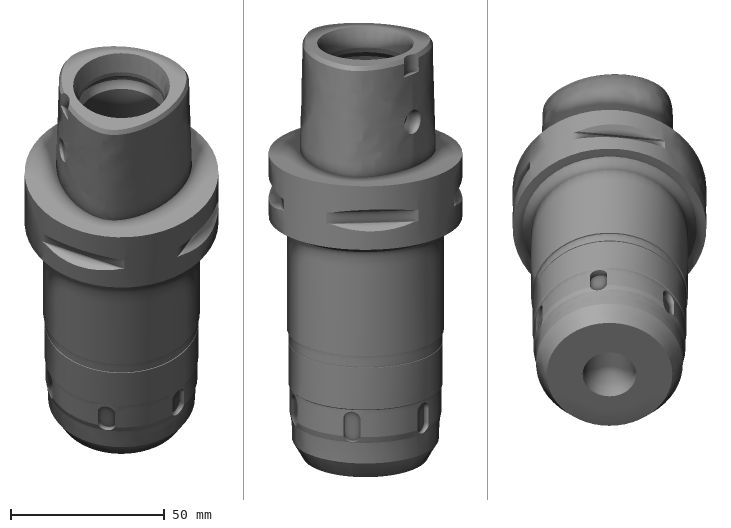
import cadquery as cq
import math

total_height = 143.0
shank_length = 38.0
flange_radius = 63.0 / 2
flange_height = 22.0
flange_top = total_height - shank_length
flange_bottom = flange_top - flange_height

body_radius = 51.0 / 2
neck_cone_height = 3.0
neck_cone_width = 2.9
body_bottom = 43.9
collar_radius = 50.2 / 2
gap_top = 40.0
gap_width = 0.5
gap_depth = 0.3
nut_step_height = 25.2
nut_step_chamfer = 0.36
nut_radius = 24.7
nut_band_bottom = 15.5
nut_lower_top = 13.3
nut_lower_radius = 48.5 / 2
nose_chamfer_top = 6.0
nose_shoulder_radius = 23.9
nose_radius = 20.5

shank_base_radius = 44.2 / 2
lobe_height = 1.5
taper_ratio = 1 / 20
shank_chamfer_height = 1.5
shank_chamfer_width = 0.9
outline_points = 48

through_radius = 8.7
bore_radius = 27.9 / 2
bore_mouth_radius = 15.7
bore_mouth_depth = 6.7
bore_groove_depth = 8.3
bore_groove_length = 5.7
bore_groove_rise = 2.1
bore_depth = 28.6

notch_radius = 5.0
notch_inner_y = -18.0
notch_depth = 6.1
side_hole_radius = 8.2 / 2
side_hole_depth_from_top = 22.5
side_hole_floor_y = -14.3

groove_count = 4
groove_z = 93.1
groove_floor = 27.7
groove_floor_width = 4.0
groove_bevel_start = 28.5
groove_bevel_angle = 30

slot_count = 6
slot_width = 5.7
slot_bottom = 13.5
slot_length = 10.7
slot_floor = 22.6


def build_turned_body():
    """Everything below the shank, revolved about Z."""
    gap_bottom = gap_top - gap_width
    profile = (
        cq.Workplane("XZ")
        .moveTo(0, 0)
        .lineTo(nose_radius, 0)
        .lineTo(nose_shoulder_radius, nose_chamfer_top)
        .lineTo(nut_lower_radius, nut_lower_top)
        .lineTo(nut_radius, nut_band_bottom)
        .lineTo(nut_radius, nut_step_height - nut_step_chamfer)
        .lineTo(collar_radius, nut_step_height)
        .lineTo(collar_radius, gap_bottom)
        .lineTo(collar_radius - gap_depth, gap_bottom)
        .lineTo(collar_radius - gap_depth, gap_top)
        .lineTo(collar_radius, gap_top)
        .lineTo(collar_radius, body_bottom)
        .lineTo(body_radius, body_bottom)
        .lineTo(body_radius, flange_bottom - neck_cone_height)
        .lineTo(body_radius + neck_cone_width, flange_bottom)
        .lineTo(flange_radius, flange_bottom)
        .lineTo(flange_radius, flange_top)
        .lineTo(0, flange_top)
        .close()
    )
    return profile.revolve(360, (0, 0, 0), (0, 1, 0))


def lobed_point(mean_radius, index):
    """Point of a constant-width outline with one of its three lobes on +Y."""
    angle = 2 * math.pi * index / outline_points - math.pi / 2
    lobe_angle = 3 * (angle - math.pi / 2)
    reach = mean_radius + lobe_height * math.cos(lobe_angle)
    slide = -3 * lobe_height * math.sin(lobe_angle)
    x = reach * math.cos(angle) - slide * math.sin(angle)
    y = reach * math.sin(angle) + slide * math.cos(angle)
    return (x, y)


def lobed_loft(bottom_z, bottom_radius, top_z, top_radius):
    """Straight-sided solid between two lobed outlines."""
    bottom_points = [lobed_point(bottom_radius, i) for i in range(outline_points)]
    top_points = [lobed_point(top_radius, i) for i in range(outline_points)]
    return (
        cq.Workplane("XY", origin=(0, 0, bottom_z))
        .spline(bottom_points, periodic=True)
        .close()
        .workplane(offset=top_z - bottom_z)
        .spline(top_points, periodic=True)
        .close()
        .loft(ruled=True)
    )


def build_shank():
    """Tapered lobed shank with a chamfered top rim."""
    chamfer_z = total_height - shank_chamfer_height
    rim_radius = shank_base_radius - (chamfer_z - flange_top) * taper_ratio / 2
    taper = lobed_loft(flange_top, shank_base_radius, chamfer_z, rim_radius)
    rim = lobed_loft(chamfer_z, rim_radius, total_height, rim_radius - shank_chamfer_width)
    return taper.union(rim)


def build_bore():
    """Stepped bore from the top, with a conical mouth and an undercut groove, and the through hole."""
    groove_top = total_height - bore_groove_depth
    groove_end = groove_top - bore_groove_length
    groove_radius = bore_radius + bore_groove_rise
    return (
        cq.Workplane("XZ")
        .moveTo(0, 0)
        .lineTo(through_radius, 0)
        .lineTo(through_radius, total_height - bore_depth)
        .lineTo(bore_radius, total_height - bore_depth)
        .lineTo(bore_radius, groove_end)
        .lineTo(groove_radius, groove_end + bore_groove_rise)
        .lineTo(groove_radius, groove_top - bore_groove_rise)
        .lineTo(bore_radius, groove_top)
        .lineTo(bore_radius, total_height - bore_mouth_depth)
        .lineTo(bore_mouth_radius, total_height)
        .lineTo(0, total_height)
        .close()
        .revolve(360, (0, 0, 0), (0, 1, 0))
    )


def build_notch():
    """Orientation notch with a rounded back and a flat bottom in the top rim."""
    return (
        cq.Workplane("XY", origin=(0, notch_inner_y - notch_radius, total_height - notch_depth))
        .circle(notch_radius)
        .extrude(notch_depth)
    )


def build_side_hole():
    """Flat-bottomed hole running in from the -Y side of the shank."""
    return (
        cq.Workplane("XZ", origin=(0, side_hole_floor_y, total_height - side_hole_depth_from_top))
        .circle(side_hole_radius)
        .extrude(flange_radius)
    )


def build_gripper_groove():
    """Straight groove across the +X side of the flange: a flat floor opening into bevelled sides."""
    half_floor = groove_floor_width / 2
    bevel_rise = (flange_radius - groove_bevel_start) * math.tan(math.radians(groove_bevel_angle))
    half_mouth = half_floor + bevel_rise
    return (
        cq.Workplane("XZ", origin=(0, 0, groove_z))
        .polyline([
            (groove_floor, -half_floor),
            (groove_bevel_start, -half_floor),
            (flange_radius, -half_mouth),
            (flange_radius, half_mouth),
            (groove_bevel_start, half_floor),
            (groove_floor, half_floor),
        ])
        .close()
        .extrude(flange_radius, both=True)
    )


def build_spanner_slot():
    """Flat-floored upright slot with round ends on the -Y side of the nut."""
    return (
        cq.Workplane("XZ", origin=(0, -slot_floor, slot_bottom + slot_length / 2))
        .slot2D(slot_length, slot_width, 90)
        .extrude(flange_radius - slot_floor)
    )


def around_axis(cutter, angle):
    """Copy of a cutter turned about Z."""
    return cutter.rotate((0, 0, 0), (0, 0, 1), angle)


result = build_turned_body().union(build_shank())
result = result.cut(build_bore()).cut(build_notch()).cut(build_side_hole())

gripper_groove = build_gripper_groove()
groove_pitch = 360 / groove_count
for i in range(groove_count):
    result = result.cut(around_axis(gripper_groove, (i + 0.5) * groove_pitch))

spanner_slot = build_spanner_slot()
slot_pitch = 360 / slot_count
for i in range(slot_count):
    result = result.cut(around_axis(spanner_slot, i * slot_pitch))